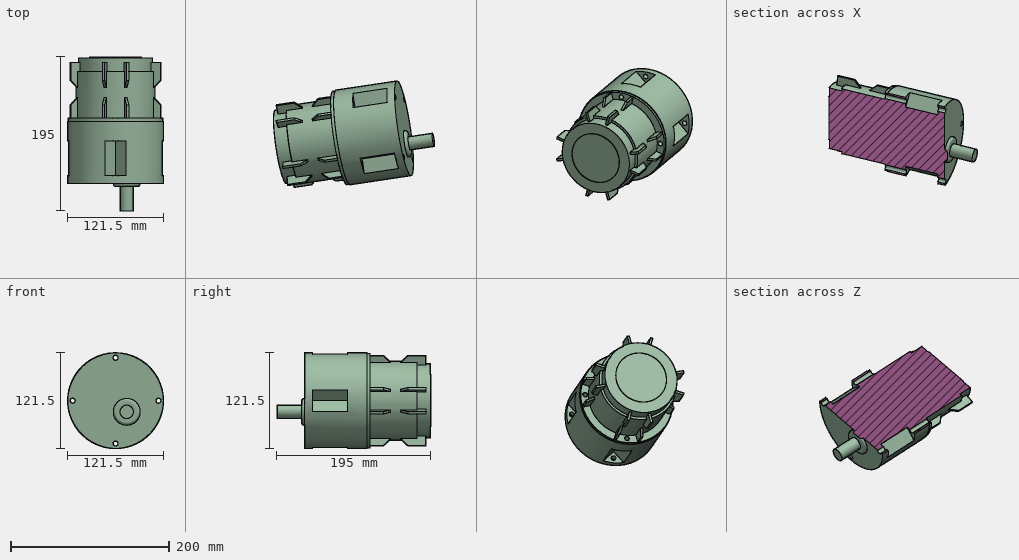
import cadquery as cq
import math


housing_radius = 60.75
housing_length = 78.8
flange_radius = 60.0
flange_length = 4.0
flange_end = housing_length + flange_length

mount_count = 4
mount_hole_diameter = 6.0
mount_circle_radius = 54.3
pocket_half_width = 13.4
pocket_start = 10.0
pocket_length = 44.0
cut_clearance = 1.0

motor_radius = 50.2
motor_end = 142.0
rear_cap_radius = 47.0
rear_cap_end = 159.2
rear_disc_radius = 33.0
rear_disc_end = 160.0

fin_pair_count = 4
fin_pair_half_angle = 15.0
fin_thickness = 3.0
fin_tip_radius = 59.0
fin_root_radius = 40.0
front_fin_tip_end = 99.7
front_fin_base_end = 108.7
rear_fin_base_start = 121.5
rear_fin_tip_start = 130.5
rear_fin_end = 153.5

shaft_offset = 20.0
shaft_direction = -45.0
shaft_radius = 8.5
shaft_length = 35.0
collar_radius = 17.0
collar_length = 4.0
collar_round = 3.5


def cylinder_along_y(radius, start, end, x=0.0, z=0.0):
    """Solid cylinder parallel to Y between two Y positions."""
    section = cq.Workplane("XZ", origin=(x, start, z))
    return section.circle(radius).extrude(start - end)


def around_y(shape, angle):
    """Copy of a shape turned about the motor axis."""
    return shape.rotate((0, 0, 0), (0, 1, 0), angle)


def make_body():
    """Stepped stack of cylinders: gearbox, flange, motor and rear cap."""
    body = cylinder_along_y(housing_radius, 0, housing_length)
    body = body.union(cylinder_along_y(flange_radius, housing_length, flange_end))
    body = body.union(cylinder_along_y(motor_radius, flange_end, motor_end))
    body = body.union(cylinder_along_y(rear_cap_radius, motor_end, rear_cap_end))
    return body.union(cylinder_along_y(rear_disc_radius, rear_cap_end, rear_disc_end))


def make_fin(profile):
    """Radial plate standing on +Z, from (y, radius) points."""
    return cq.Workplane("YZ").polyline(profile).close().extrude(fin_thickness / 2, both=True)


def make_fins():
    """Front and rear fins of every pair."""
    front_fin = make_fin([
        (flange_end, fin_root_radius),
        (flange_end, fin_tip_radius),
        (front_fin_tip_end, fin_tip_radius),
        (front_fin_base_end, motor_radius),
        (front_fin_base_end, fin_root_radius),
    ])
    rear_fin = make_fin([
        (rear_fin_base_start, fin_root_radius),
        (rear_fin_base_start, motor_radius),
        (rear_fin_tip_start, fin_tip_radius),
        (rear_fin_end, fin_tip_radius),
        (rear_fin_end, fin_root_radius),
    ])
    fin_row = front_fin.union(rear_fin)
    fins = cq.Workplane("XY")
    for index in range(fin_pair_count):
        pair_angle = index * 360 / fin_pair_count
        for side in (-1, 1):
            fins = fins.union(around_y(fin_row, pair_angle + side * fin_pair_half_angle))
    return fins


def make_mount_cuts():
    """Right-angled V pockets, each with a mounting hole through the whole housing."""
    pocket_edge_height = math.sqrt(housing_radius**2 - pocket_half_width**2)
    pocket_apex_height = pocket_edge_height - pocket_half_width
    opening_height = housing_radius + cut_clearance
    opening_half_width = opening_height - pocket_apex_height
    pocket = (
        cq.Workplane("XZ", origin=(0, pocket_start, 0))
        .moveTo(0, pocket_apex_height)
        .lineTo(opening_half_width, opening_height)
        .lineTo(-opening_half_width, opening_height)
        .close()
        .extrude(-pocket_length)
    )
    hole = cylinder_along_y(mount_hole_diameter / 2, 0, flange_end, z=mount_circle_radius)
    mount = pocket.union(hole)
    cuts = cq.Workplane("XY")
    for index in range(mount_count):
        cuts = cuts.union(around_y(mount, index * 360 / mount_count))
    return cuts


def make_output_shaft():
    """Rounded collar and plain shaft on the front face, off the motor axis."""
    x = shaft_offset * math.cos(math.radians(shaft_direction))
    z = shaft_offset * math.sin(math.radians(shaft_direction))
    collar = cylinder_along_y(collar_radius, -collar_length, 0, x, z)
    collar = collar.faces("<Y").edges().fillet(collar_round)
    return collar.union(cylinder_along_y(shaft_radius, -shaft_length, 0, x, z))


result = make_body().union(make_fins()).cut(make_mount_cuts()).union(make_output_shaft())